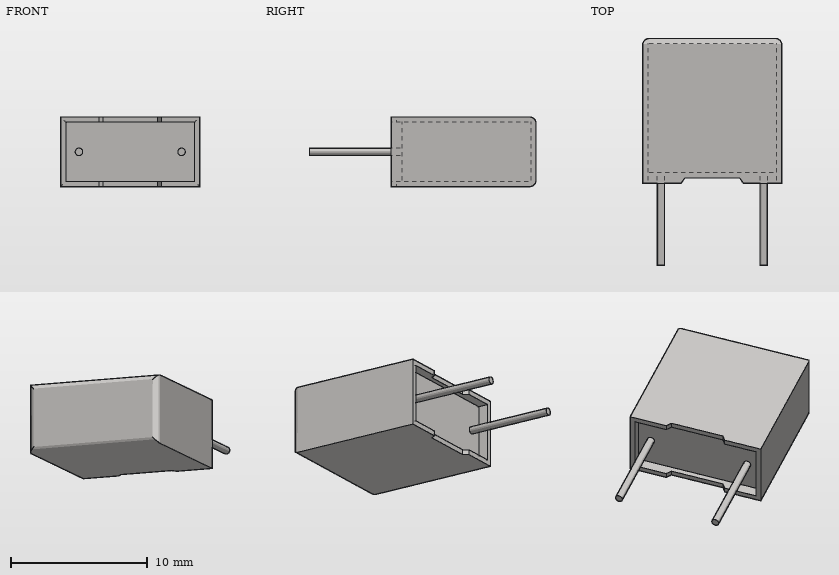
import cadquery as cq

case_width = 10.2
case_height = 5.11
total_length = 16.6
lead_reach = 6.0
case_length = total_length - lead_reach
wall = 0.38
end_radius = 0.5

notch_depth = 0.38
notch_mouth_width = 4.55
notch_floor_width = 4.02

fill_recess = 0.78
lead_diameter = 0.55
lead_spacing = 7.5

cavity_width = case_width - 2 * wall
cavity_height = case_height - 2 * wall
fill_length = case_length - wall - fill_recess


def box_along_y(width, length, height, y_start):
    """Box centred on X and Z that runs toward +Y from y_start."""
    return cq.Workplane("XY").box(width, length, height).translate((0, y_start + length / 2, 0))


def make_notch_cutter():
    """Slanted-sided notch at the rim, cutting the full case height."""
    return (
        cq.Workplane("XY")
        .polyline([
            (-notch_mouth_width / 2, 0),
            (-notch_floor_width / 2, notch_depth),
            (notch_floor_width / 2, notch_depth),
            (notch_mouth_width / 2, 0),
        ])
        .close()
        .extrude(case_height / 2, both=True)
    )


def make_case():
    """Hollow case with its open rim at Y = 0."""
    outer = box_along_y(case_width, case_length, case_height, 0).faces(">Y").edges().fillet(end_radius)
    cavity = box_along_y(cavity_width, case_length - wall, cavity_height, 0)
    return outer.cut(cavity).cut(make_notch_cutter())


def make_lead(x):
    """Round lead from the face of the filling to its free end at -Y."""
    return (
        cq.Workplane("XZ", origin=(x, -lead_reach, 0))
        .circle(lead_diameter / 2)
        .extrude(-(lead_reach + fill_recess))
    )


def make_filling():
    """Block that fills the cavity up to the recess."""
    return box_along_y(cavity_width, fill_length, cavity_height, fill_recess)


case = make_case()
leads = [make_lead(side * lead_spacing / 2) for side in (-1, 1)]
filling = make_filling()

result = cq.Compound.makeCompound([case.val(), filling.val(), *[lead.val() for lead in leads]])